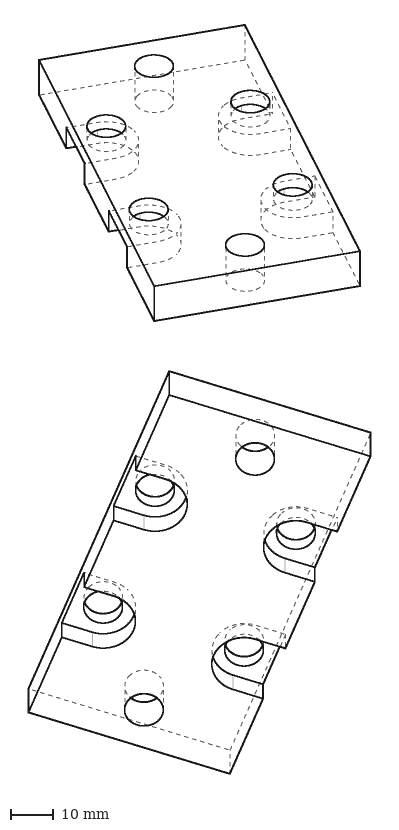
import cadquery as cq

length = 95.0
width = 50.0
thickness = 10.0

hole_diameter = 9.0
corner_hole_offset = 17.5
end_hole_offset = 37.5

recess_width = 15.0
recess_depth = 6.0

corner_points = [
    (x_side * corner_hole_offset, y_side * corner_hole_offset)
    for x_side in (-1, 1)
    for y_side in (-1, 1)
]
end_points = [(-end_hole_offset, 0), (end_hole_offset, 0)]


def edge_recess(x, y):
    """Recess with its round end about (x, y), running out to the nearest long edge."""
    run_out = width / 2 - abs(y)
    edge_y = y + run_out if y > 0 else y - run_out
    round_end = cq.Workplane("XY").center(x, y).circle(recess_width / 2).extrude(recess_depth)
    channel = (
        cq.Workplane("XY")
        .center(x, (y + edge_y) / 2)
        .rect(recess_width, run_out)
        .extrude(recess_depth)
    )
    return round_end.union(channel)


plate = cq.Workplane("XY").box(length, width, thickness, centered=(True, True, False))

holes = (
    cq.Workplane("XY")
    .pushPoints(corner_points + end_points)
    .circle(hole_diameter / 2)
    .extrude(thickness)
)

result = plate.cut(holes)
for hole_x, hole_y in corner_points:
    result = result.cut(edge_recess(hole_x, hole_y))